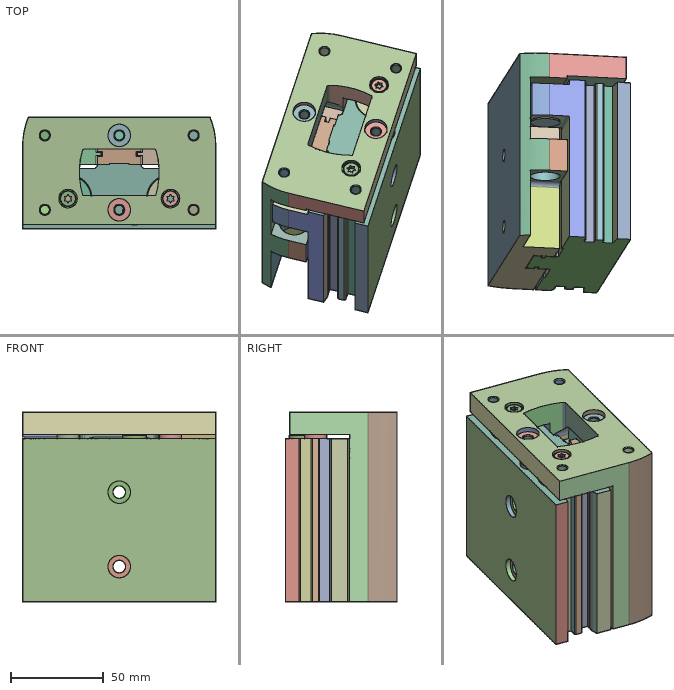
import cadquery as cq
import math


WIDTH = 104.0
HALF_WIDTH = WIDTH / 2
DEPTH = 60.0
HEIGHT = 102.0
BIG = 2 * WIDTH

PLATE_FRONT_Y = 2.3
PLATE_BOTTOM_Z = 90.0
SHOULDER_Z = 88.6
BLOCK_FRONT_Y = 34.5
REAR_PLATE_Y = 54.5
SIDE_ARC_Y = 44.4
SIDE_ARC_RADIUS = 40.6

WEB_X = -28.1
RIB_TOP_Z = 54.1
RIB_BOTTOM_Z = 36.5
POCKET_RADIUS = 2.5
BUMPER_DIA = 16.0
STOP_X = (WEB_X - HALF_WIDTH) / 2
STOP_Y = (BLOCK_FRONT_Y + REAR_PLATE_Y) / 2

WINDOW_FRONT_Y = 17.8
WINDOW_REAR_Y = 42.8
WINDOW_END_HALF = 19.5
WINDOW_MID_HALF = 21.4
WINDOW_RADIUS = 1.2

ARCH_HALF = 21.2
ARCH_RADIUS = 8.2
CHANNEL_REAR_Y = 46.0
BAR_TOP_Z = 77.4
CHANNEL_HALF = 12.4

RAIL_HALF = 11.8
RAIL_REAR_Y = 45.8
RAIL_TOP_Z = 82.5
TONGUE_Y = 40.2
TONGUE_HEIGHT = 1.9
TONGUE_HALF = 9.6
GROOVE_HEIGHT = 2.3
GROOVE_HALF = 9.0

HOLE_PITCH = 40.0
TAP_DIA = 4.9
TAP_CHAMFER = 0.5
CORNER_TAP_DEPTH = 10.4
CBORE_DIA = 12.1
CBORE_DEPTH = 2.6
TAP_FRONT_Y = 10.2
THROUGH_DIA = 6.7
LOWER_THROUGH_Z = 18.9

ROD_X = 27.6
ROD_Y = 16.2
ROD_DIA = 12.1
SCREW_BORE_DIA = 10.0
SCREW_BORE_DEPTH = 1.7
SCREW_HEAD_DIA = 8.5
SCREW_HEAD_HEIGHT = 0.8
SCREW_HEAD_CHAMFER = 0.26
SOCKET_OUTER_RADIUS = 2.3
SOCKET_INNER_RADIUS = 1.5
SOCKET_DEPTH = 2.1
SOCKET_POINTS = 6

HOUSING_TOP_Z = 87.8
HOUSING_REAR_Y = 33.4
RECESS_Y = 32.5
FLANGE_Y = 7.3
FLANGE_ROOT_Y = 8.2
RIDGE_FRONT_Y = 13.7
RIDGE_REAR_Y = 18.4
RIDGE_INSET = 4.2
RIDGE_CHAMFER = 0.7
SLOT_DEPTH = 8.7
SLOT_REAR_Y = 23.7
SLOT_LIP_Y = 24.9
SLOT_LIP_INSET = 3.7
NICK_INSET = 5.8
NICK_WIDTH = 1.0
NICK_DEPTH = 0.5
PAD_HALF = 13.1
PAD_CHAMFER = 1.2
PAD_Y = 34.5
PAD_RELIEF_HALF = 5.2
PAD_RELIEF = 0.5
CAP_DIA = 25.0
CAP_DEPTH = 0.6
CAP_CHAMFER = 0.4
BOSS_DIA = 12.9
BOSS_X = 8.1
BOSS_Y = 8.4
BOSS_TOP_Z = 89.5

EAR_BOTTOM_Z = 67.4
EAR_TOP_Z = 85.1
EAR_GAP = 0.9
EAR_INNER_X = WEB_X - EAR_GAP
EAR_REAR_Y = REAR_PLATE_Y - EAR_GAP
EAR_FILLET = 0.8
BUMPER_HEIGHT = 0.8


def block(x0, x1, y0, y1, z0, z1):
    return cq.Workplane("XY").box(x1 - x0, y1 - y0, z1 - z0, centered=False).translate((x0, y0, z0))


def cylinder(x, y, diameter, z0, z1):
    return cq.Workplane("XY", origin=(x, y, z0)).circle(diameter / 2).extrude(z1 - z0)


def cylinder_along_y(x, z, diameter, y0, y1):
    return cq.Workplane("XZ", origin=(x, y0, z)).circle(diameter / 2).extrude(y0 - y1)


def envelope():
    """Full-height plan outline, with the rear of both sides curving inward."""
    def inset(y):
        run = y - SIDE_ARC_Y
        return SIDE_ARC_RADIUS - math.sqrt(SIDE_ARC_RADIUS ** 2 - run ** 2)

    arc_mid_y = (SIDE_ARC_Y + DEPTH) / 2
    mid_x = HALF_WIDTH - inset(arc_mid_y)
    rear_x = HALF_WIDTH - inset(DEPTH)
    return (
        cq.Workplane("XY")
        .moveTo(-HALF_WIDTH, 0)
        .lineTo(HALF_WIDTH, 0)
        .lineTo(HALF_WIDTH, SIDE_ARC_Y)
        .threePointArc((mid_x, arc_mid_y), (rear_x, DEPTH))
        .lineTo(-rear_x, DEPTH)
        .threePointArc((-mid_x, arc_mid_y), (-HALF_WIDTH, SIDE_ARC_Y))
        .close()
        .extrude(HEIGHT)
    )


def side_pocket(z0, z1, rounded_edges):
    """Pocket on the -X side, with rounded inner corners at the web."""
    pocket = block(-BIG, WEB_X, -BIG, REAR_PLATE_Y, z0, z1)
    return pocket.edges(rounded_edges).fillet(POCKET_RADIUS)


def window():
    """Opening down through the top plate, with bowed ends."""
    mid_y = (WINDOW_FRONT_Y + WINDOW_REAR_Y) / 2
    opening = (
        cq.Workplane("XY", origin=(0, 0, BAR_TOP_Z))
        .moveTo(-WINDOW_END_HALF, WINDOW_FRONT_Y)
        .lineTo(WINDOW_END_HALF, WINDOW_FRONT_Y)
        .threePointArc((WINDOW_MID_HALF, mid_y), (WINDOW_END_HALF, WINDOW_REAR_Y))
        .lineTo(-WINDOW_END_HALF, WINDOW_REAR_Y)
        .threePointArc((-WINDOW_MID_HALF, mid_y), (-WINDOW_END_HALF, WINDOW_FRONT_Y))
        .close()
        .extrude(HEIGHT - BAR_TOP_Z)
    )
    return opening.edges("|Z and >Y").fillet(WINDOW_RADIUS)


def rail_channel():
    """Arched recess above the guide bars and the channel between them, less the tongues."""
    arch = block(-ARCH_HALF, ARCH_HALF, BLOCK_FRONT_Y, CHANNEL_REAR_Y, BAR_TOP_Z, SHOULDER_Z)
    arch = arch.edges("|Y and >Z").fillet(ARCH_RADIUS)
    channel = block(-CHANNEL_HALF, CHANNEL_HALF, BLOCK_FRONT_Y, CHANNEL_REAR_Y, 0, BAR_TOP_Z)
    tongue_y0 = TONGUE_Y - TONGUE_HEIGHT / 2
    tongue_y1 = TONGUE_Y + TONGUE_HEIGHT / 2
    for x0, x1 in ((-CHANNEL_HALF, -TONGUE_HALF), (TONGUE_HALF, CHANNEL_HALF)):
        channel = channel.cut(block(x0, x1, tongue_y0, tongue_y1, 0, BAR_TOP_Z))
    return arch.union(channel)


def countersink(x, y, diameter, chamfer, top_z):
    """Cone that chamfers the mouth of a hole whose rim is at top_z."""
    mouth = cq.Solid.makeCone(diameter / 2, diameter / 2 + chamfer, chamfer)
    return cq.Workplane(mouth.translate(cq.Vector(x, y, top_z - chamfer)))


def tapped_hole(x, y, bottom_z, top_z):
    """Cutter for a hole with a chamfered mouth."""
    hole = cylinder(x, y, TAP_DIA, bottom_z, top_z)
    return hole.union(countersink(x, y, TAP_DIA, TAP_CHAMFER, top_z))


def add_plate_holes(bracket):
    for y in (TAP_FRONT_Y, TAP_FRONT_Y + HOLE_PITCH):
        for x in (-HOLE_PITCH, HOLE_PITCH):
            bracket = bracket.cut(tapped_hole(x, y, HEIGHT - CORNER_TAP_DEPTH, HEIGHT))
        bracket = bracket.cut(cylinder(0, y, CBORE_DIA, HEIGHT - CBORE_DEPTH, HEIGHT))
        bracket = bracket.cut(tapped_hole(0, y, SHOULDER_Z, HEIGHT - CBORE_DEPTH))
    return bracket


def star_socket(x, y, top_z):
    points = []
    for i in range(2 * SOCKET_POINTS):
        radius = SOCKET_INNER_RADIUS if i % 2 else SOCKET_OUTER_RADIUS
        angle = math.pi * i / SOCKET_POINTS
        points.append((x + radius * math.sin(angle), y + radius * math.cos(angle)))
    return cq.Workplane("XY", origin=(0, 0, top_z)).polyline(points).close().extrude(-SOCKET_DEPTH)


def add_rod(bracket, x):
    """Rod end below the plate and its screw head, sunk in the plate's top."""
    bore_z = HEIGHT - SCREW_BORE_DEPTH
    head_z = bore_z + SCREW_HEAD_HEIGHT
    head = cylinder(x, ROD_Y, SCREW_HEAD_DIA, bore_z, head_z).faces(">Z").chamfer(SCREW_HEAD_CHAMFER)
    return (
        bracket.union(cylinder(x, ROD_Y, ROD_DIA, HOUSING_TOP_Z - CAP_DEPTH, PLATE_BOTTOM_Z))
        .cut(cylinder(x, ROD_Y, SCREW_BORE_DIA, bore_z, HEIGHT))
        .union(head)
        .cut(star_socket(x, ROD_Y, head_z))
    )


def mounting_holes():
    """Cutters for the two cross holes through both bodies, counterbored at the front."""
    cutters = cq.Workplane("XY")
    for z in (LOWER_THROUGH_Z, LOWER_THROUGH_Z + HOLE_PITCH):
        cutters = cutters.union(cylinder_along_y(0, z, THROUGH_DIA, 0, DEPTH))
        cutters = cutters.union(cylinder_along_y(0, z, CBORE_DIA, 0, CBORE_DEPTH))
    return cutters


def make_bracket():
    bracket = block(-BIG, BIG, PLATE_FRONT_Y, DEPTH, PLATE_BOTTOM_Z, HEIGHT)
    bracket = bracket.union(block(-BIG, BIG, BLOCK_FRONT_Y, DEPTH, 0, HEIGHT))
    bracket = bracket.intersect(envelope())
    bracket = bracket.cut(side_pocket(RIB_TOP_Z, SHOULDER_Z, "|Y and >X"))
    bracket = bracket.cut(side_pocket(-HEIGHT, RIB_BOTTOM_Z, "|Y and >X and >Z"))
    bracket = bracket.cut(cylinder(STOP_X, STOP_Y, BUMPER_DIA, RIB_BOTTOM_Z, RIB_TOP_Z))
    bracket = bracket.cut(window()).cut(rail_channel())
    bracket = add_plate_holes(bracket)
    for x in (-ROD_X, ROD_X):
        bracket = add_rod(bracket, x)
    return bracket.cut(mounting_holes())


def side_groove_points():
    """Outline of the housing's +X flank, front to rear."""
    flank = [
        (0, 0),
        (0, FLANGE_Y),
        (SLOT_DEPTH, FLANGE_ROOT_Y),
        (SLOT_DEPTH, RIDGE_FRONT_Y),
        (RIDGE_INSET + RIDGE_CHAMFER, RIDGE_FRONT_Y),
        (RIDGE_INSET, RIDGE_FRONT_Y + RIDGE_CHAMFER),
        (RIDGE_INSET, RIDGE_REAR_Y - RIDGE_CHAMFER),
        (RIDGE_INSET + RIDGE_CHAMFER, RIDGE_REAR_Y),
        (SLOT_DEPTH, RIDGE_REAR_Y),
        (SLOT_DEPTH, SLOT_REAR_Y),
        (NICK_INSET + NICK_WIDTH, SLOT_REAR_Y),
        (NICK_INSET + NICK_WIDTH, SLOT_REAR_Y + NICK_DEPTH),
        (NICK_INSET, SLOT_REAR_Y + NICK_DEPTH),
        (NICK_INSET, SLOT_REAR_Y),
        (SLOT_LIP_INSET, SLOT_REAR_Y),
        (0, SLOT_LIP_Y),
        (0, HOUSING_REAR_Y),
    ]
    return [(HALF_WIDTH - inset, y) for inset, y in flank]


def housing_body():
    """Extruded housing body with the chamfered, relieved seat for the rail."""
    half_rear = [
        (-WEB_X, HOUSING_REAR_Y),
        (-WEB_X, RECESS_Y),
        (PAD_HALF, RECESS_Y),
        (PAD_HALF - PAD_CHAMFER, RECESS_Y + PAD_CHAMFER),
        (PAD_HALF - PAD_CHAMFER, PAD_Y),
    ]
    half = side_groove_points() + half_rear
    outline = half + [(-x, y) for x, y in reversed(half)]
    body = cq.Workplane("XY").polyline(outline).close().extrude(HOUSING_TOP_Z)
    return body.union(block(-PAD_RELIEF_HALF, PAD_RELIEF_HALF, PAD_Y, PAD_Y + PAD_RELIEF, 0, HOUSING_TOP_Z))


def guide_rail():
    rail = block(-RAIL_HALF, RAIL_HALF, PAD_Y, RAIL_REAR_Y, 0, RAIL_TOP_Z)
    groove_y0 = TONGUE_Y - GROOVE_HEIGHT / 2
    groove_y1 = TONGUE_Y + GROOVE_HEIGHT / 2
    for x0, x1 in ((-RAIL_HALF, -GROOVE_HALF), (GROOVE_HALF, RAIL_HALF)):
        rail = rail.cut(block(x0, x1, groove_y0, groove_y1, 0, RAIL_TOP_Z))
    return rail


def add_stop_ear(housing):
    """Ear reaching into the bracket's upper pocket, with a bumper on its underside."""
    ear = block(-BIG, EAR_INNER_X, HOUSING_REAR_Y, EAR_REAR_Y, EAR_BOTTOM_Z, EAR_TOP_Z)
    housing = housing.union(ear.intersect(envelope()))
    for z in (EAR_BOTTOM_Z, EAR_TOP_Z):
        root = (STOP_X, HOUSING_REAR_Y, z)
        housing = housing.edges(cq.selectors.NearestToPointSelector(root)).fillet(EAR_FILLET)
    return housing.union(cylinder(STOP_X, STOP_Y, BUMPER_DIA, EAR_BOTTOM_Z - BUMPER_HEIGHT, EAR_BOTTOM_Z))


def make_housing():
    housing = add_stop_ear(housing_body()).union(guide_rail())
    for x in (-ROD_X, ROD_X):
        housing = housing.cut(cylinder(x, ROD_Y, CAP_DIA, HOUSING_TOP_Z - CAP_DEPTH, HOUSING_TOP_Z))
        housing = housing.cut(countersink(x, ROD_Y, CAP_DIA, CAP_CHAMFER, HOUSING_TOP_Z))
    housing = housing.union(cylinder(BOSS_X, BOSS_Y, BOSS_DIA, HOUSING_TOP_Z, BOSS_TOP_Z))
    return housing.cut(mounting_holes())


bracket = make_bracket()
housing = make_housing()

result = cq.Compound.makeCompound([bracket.val(), housing.val()])